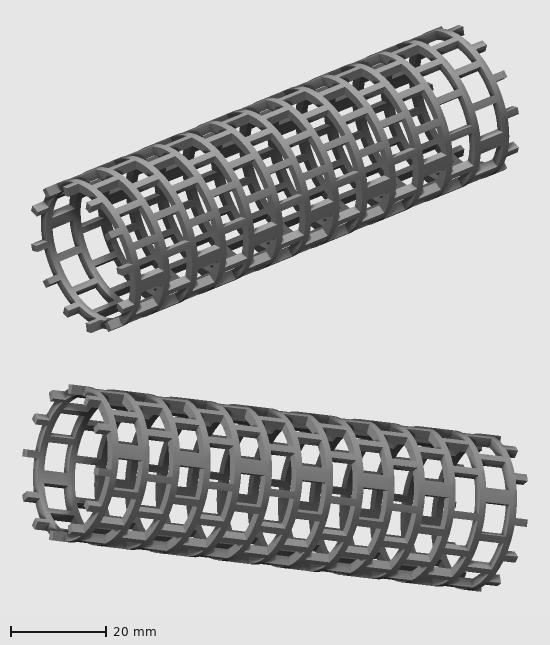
import cadquery as cq
import math

length = 104.3
outer_radius = 16.5
wall = 2.0
inner_radius = outer_radius - wall

bar_width = 1.6
ring_width = 1.6
ring_count = 14
openings_per_half = 6

ring_pitch = length / ring_count
opening_length = ring_pitch - ring_width
bar_angle = math.degrees(bar_width / outer_radius)
bar_pitch_angle = (180 - bar_angle) / openings_per_half
opening_angle = bar_pitch_angle - bar_angle

cutter_inner_radius = inner_radius - wall
cutter_outer_radius = outer_radius + wall


def point_at(radius, angle):
    """Point in the XZ plane, with the angle in degrees from +X towards +Z."""
    turn = math.radians(angle)
    return (radius * math.cos(turn), radius * math.sin(turn))


def opening_cutter(start_angle, end_angle, start_y, end_y):
    """Sector with radial sides that cuts one opening through the wall."""
    middle_angle = (start_angle + end_angle) / 2
    return (
        cq.Workplane("XZ", origin=(0, start_y, 0))
        .moveTo(*point_at(cutter_inner_radius, start_angle))
        .lineTo(*point_at(cutter_outer_radius, start_angle))
        .threePointArc(
            point_at(cutter_outer_radius, middle_angle),
            point_at(cutter_outer_radius, end_angle),
        )
        .lineTo(*point_at(cutter_inner_radius, end_angle))
        .threePointArc(
            point_at(cutter_inner_radius, middle_angle),
            point_at(cutter_inner_radius, start_angle),
        )
        .close()
        .extrude(start_y - end_y)
        .val()
    )


def aligned_openings():
    """Start and end angles of the openings in a row that has bars along the seams."""
    spans = []
    for seam_angle in (0, 180):
        for i in range(openings_per_half):
            start_angle = seam_angle + bar_angle + i * bar_pitch_angle
            spans.append((start_angle, start_angle + opening_angle))
    return spans


def staggered_openings():
    """Start and end angles of the openings in a row shifted by half a bar pitch."""
    first_bar_start = bar_pitch_angle / 2
    spans = []
    for seam_angle in (0, 180):
        for i in range(openings_per_half - 1):
            start_angle = seam_angle + first_bar_start + bar_angle + i * bar_pitch_angle
            spans.append((start_angle, start_angle + opening_angle))
        spans.append((seam_angle - first_bar_start, seam_angle + first_bar_start))
    return spans


def row_cutters(spans, start_y, end_y):
    """Cutters for one row of openings around the tube."""
    return [opening_cutter(start, end, start_y, end_y) for start, end in spans]


cutters = []
for row in range(ring_count - 1):
    row_start = -length / 2 + (row + 0.5) * ring_pitch + ring_width / 2
    spans = aligned_openings() if row % 2 == 0 else staggered_openings()
    cutters += row_cutters(spans, row_start, row_start + opening_length)

half_row_length = opening_length / 2
end_overcut = ring_width
cutters += row_cutters(staggered_openings(), -length / 2 - end_overcut, -length / 2 + half_row_length)
cutters += row_cutters(staggered_openings(), length / 2 - half_row_length, length / 2 + end_overcut)

tube = (
    cq.Workplane("XZ", origin=(0, -length / 2, 0))
    .circle(outer_radius)
    .circle(inner_radius)
    .extrude(-length)
)
result = cq.Workplane(tube.val().cut(*cutters))